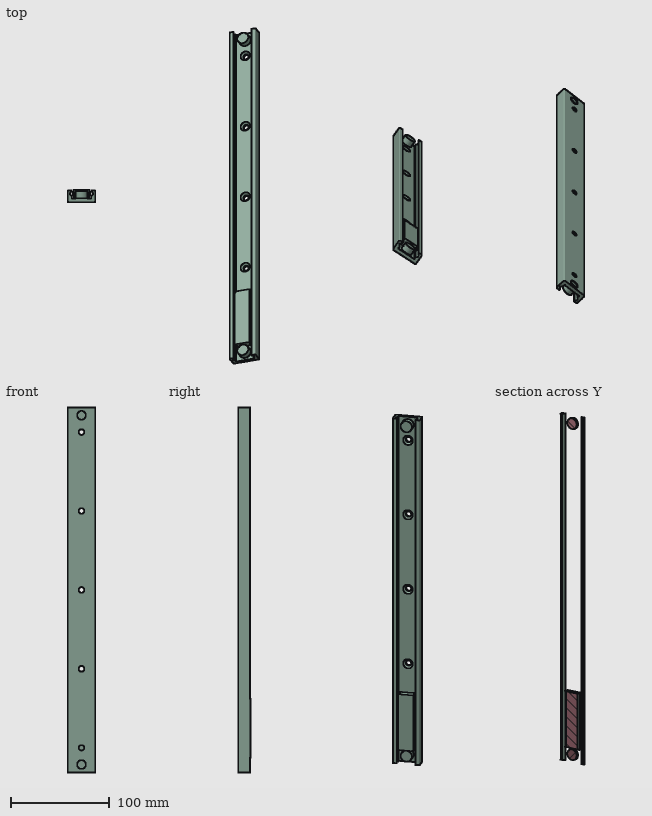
import cadquery as cq


RAIL_LENGTH = 370.0
RAIL_WIDTH = 28.0
RAIL_DEPTH = 12.2
SLIDER_OVERHANG = 0.7
WEB_THICKNESS = 4.0
CHANNEL_WIDTH = 19.5
CORNER_RADIUS = 1.0

RAIL_FRONT = -(RAIL_DEPTH + SLIDER_OVERHANG) / 2
RAIL_BACK = RAIL_FRONT + RAIL_DEPTH
WEB_BACK = RAIL_FRONT + WEB_THICKNESS

RACEWAY_RADIUS = 2.2
RACEWAY_X = 9.2
RACEWAY_Y = 2.2

HOLE_DIAMETER = 5.5
SINK_DIAMETER = 10.0
SINK_DEPTH = 2.2
HOLE_COUNT = 5
HOLE_PITCH = 80.0

STOP_Z = 177.0
RIVET_DIAMETER = 9.0
STOP_DIAMETER = 12.0
STOP_HEIGHT = 7.0
RIVET_RECESS = 0.7

SLIDER_LENGTH = 60.0
SLIDER_BOTTOM = -170.2
SLIDER_WIDTH = 16.0
SLIDER_CLEARANCE = 1.5

CAGE_THICKNESS = 1.0
CAGE_X = (SLIDER_WIDTH + CAGE_THICKNESS) / 2
CAGE_WIDTH = 3.7


def box_between(x_size, y_start, y_end, z_start, z_end):
    """Box centred on X = 0 between the given Y and Z limits."""
    return (
        cq.Workplane("XY", origin=(0, (y_start + y_end) / 2, z_start))
        .box(x_size, y_end - y_start, z_end - z_start, centered=(True, True, False))
    )


def rod_along_y(diameter, y_start, y_end, z):
    """Round rod on X = 0, parallel to Y, between the given Y limits."""
    return (
        cq.Workplane("ZX", origin=(0, y_start, z))
        .circle(diameter / 2)
        .extrude(y_end - y_start)
    )


def raceway_rods():
    """Two round rods that cut the ball raceways along the whole rail."""
    return (
        cq.Workplane("XY", origin=(0, RACEWAY_Y, -RAIL_LENGTH / 2))
        .pushPoints([(-RACEWAY_X, 0), (RACEWAY_X, 0)])
        .circle(RACEWAY_RADIUS)
        .extrude(RAIL_LENGTH)
    )


def countersunk_hole(z):
    """Cutter for one mounting hole, countersunk from the channel side of the web."""
    cylinder = rod_along_y(HOLE_DIAMETER, RAIL_FRONT, WEB_BACK, z)
    cone = cq.Solid.makeCone(
        HOLE_DIAMETER / 2,
        SINK_DIAMETER / 2,
        SINK_DEPTH,
        pnt=cq.Vector(0, WEB_BACK - SINK_DEPTH, z),
        dir=cq.Vector(0, 1, 0),
    )
    return cylinder.union(cone)


def make_rail():
    half_length = RAIL_LENGTH / 2
    rail = box_between(RAIL_WIDTH, RAIL_FRONT, RAIL_BACK, -half_length, half_length)
    rail = rail.edges("|Z").fillet(CORNER_RADIUS)
    rail = rail.cut(box_between(CHANNEL_WIDTH, WEB_BACK, RAIL_BACK, -half_length, half_length))
    rail = rail.cut(raceway_rods())
    for index in range(HOLE_COUNT):
        hole_z = (index - (HOLE_COUNT - 1) / 2) * HOLE_PITCH
        rail = rail.cut(countersunk_hole(hole_z))
    for stop_z in (-STOP_Z, STOP_Z):
        rail = rail.cut(rod_along_y(RIVET_DIAMETER, RAIL_FRONT, WEB_BACK, stop_z))
    return rail


def make_end_stop(stop_z):
    rivet = rod_along_y(RIVET_DIAMETER, RAIL_FRONT + RIVET_RECESS, WEB_BACK, stop_z)
    bumper = rod_along_y(STOP_DIAMETER, WEB_BACK, WEB_BACK + STOP_HEIGHT, stop_z)
    return rivet.union(bumper)


def make_slider():
    slider = box_between(
        SLIDER_WIDTH,
        WEB_BACK + SLIDER_CLEARANCE,
        RAIL_BACK + SLIDER_OVERHANG,
        SLIDER_BOTTOM,
        SLIDER_BOTTOM + SLIDER_LENGTH,
    )
    return slider.cut(raceway_rods())


def make_cage(side):
    """Cage strip against the side of the slider; side is -1 or 1."""
    cage = box_between(
        CAGE_THICKNESS,
        RACEWAY_Y - CAGE_WIDTH / 2,
        RACEWAY_Y + CAGE_WIDTH / 2,
        SLIDER_BOTTOM,
        SLIDER_BOTTOM + SLIDER_LENGTH,
    )
    return cage.translate((side * CAGE_X, 0, 0))


rail = make_rail()
slider = make_slider()
end_stops = [make_end_stop(stop_z) for stop_z in (-STOP_Z, STOP_Z)]
cages = [make_cage(side) for side in (-1, 1)]

result = cq.Compound.makeCompound(
    [rail.val(), slider.val()]
    + [end_stop.val() for end_stop in end_stops]
    + [cage.val() for cage in cages]
)